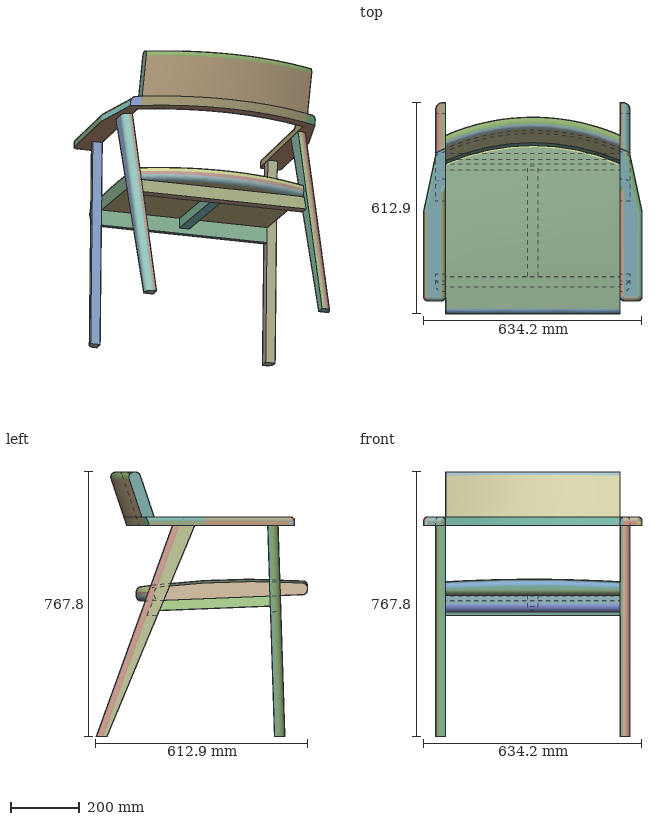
import cadquery as cq
import math


overall_width = 634.2
overall_depth = 612.9
overall_height = 767.76
inner_half_width = 253.0
arm_half_width = overall_width / 2
edge_radius = 20.0

arm_bottom = 612.0
arm_thickness = 25.5
arm_top = arm_bottom + arm_thickness
arm_front = 37.5
arm_taper_start = 297.0
arm_taper_end = 461.0
arm_round = 12.5
inner_round_end = 355.0
runout_radius = 22.0
crease_round = 6.0

back_radius = 636.0
back_thickness = 36.0
back_rear_at_arm_top = 533.0
back_lean = 0.335
back_top_round = 15.0
rear_limit_half_width = 354.0

leg_width = 29.0
front_leg_depth = 30.7
front_leg_foot = 65.3
front_leg_head = 85.0
rear_leg_foot_depth = 31.5
rear_leg_head_front = 327.0
rear_leg_head_rear = 392.0
rear_leg_foot_front = overall_depth - rear_leg_foot_depth

seat_rear = 497.0
seat_crest_y = 160.0
seat_crest_z = 457.0
seat_length_curve = 2400.0
seat_crown = 7.5
seat_bottom_front = 412.0
seat_bottom_slope = 0.04
seat_overrun = 100.0
seat_front_round = 14.5
seat_rear_round = 16.0

front_rail_bottom = 362.0
rear_rail_bottom = 351.0
rear_rail_depth = 30.0
stretcher_height = 29.5
stretcher_width = 30.0


def seat_bottom(y):
    """Height of the sloping underside of the seat."""
    return seat_bottom_front - seat_bottom_slope * y


def front_leg_y(z):
    """Front edge of the front leg at height z."""
    return front_leg_foot + (front_leg_head - front_leg_foot) * z / arm_bottom


def rear_leg_y(z):
    """Front edge of the rear leg at height z."""
    return rear_leg_foot_front + (rear_leg_head_front - rear_leg_foot_front) * z / arm_bottom


def back_rear_y(z):
    """Rear face of the backrest on the centre line at height z."""
    return back_rear_at_arm_top + back_lean * (z - arm_top)


def side_extrusion(points, x_start, width):
    """Prism of a side outline of (y, z) points, from x_start towards +X."""
    return cq.Workplane("YZ", origin=(x_start, 0, 0)).polyline(points).close().extrude(width)


def bulge(radius, half_width):
    """Rise of an arc of this radius over its chord."""
    return radius - math.sqrt(radius**2 - half_width**2)


def leaning_prism(plan, bottom, top):
    """Extrude a plan outline from bottom to top along the lean of the backrest."""
    height = top - bottom
    return cq.Workplane(cq.Solid.extrudeLinear(plan.val(), [], cq.Vector(0, back_lean * height, height)))


def make_leg(points, outer_edge):
    """Right leg with its outer long edge rounded; outer_edge selects front or rear."""
    leg = side_extrusion(points, inner_half_width, leg_width)
    return leg.faces(">X").edges("not(<Z or >Z)").edges(outer_edge).fillet(edge_radius)


front_leg_outline = [
    (front_leg_foot, 0),
    (front_leg_foot + front_leg_depth, 0),
    (front_leg_head + front_leg_depth, arm_bottom),
    (front_leg_head, arm_bottom),
]
rear_leg_outline = [
    (rear_leg_foot_front, 0),
    (overall_depth, 0),
    (rear_leg_head_rear, arm_bottom),
    (rear_leg_head_front, arm_bottom),
]

legs = []
for outline, outer_edge in ((front_leg_outline, "<Y"), (rear_leg_outline, ">Y")):
    right_leg = make_leg(outline, outer_edge)
    legs += [right_leg, right_leg.mirror("YZ")]


def back_plan(z):
    """Curved strip between the legs at height z."""
    rear = back_rear_y(z)
    drop = bulge(back_radius, inner_half_width)
    return (
        cq.Workplane("XY", origin=(0, 0, z))
        .moveTo(-inner_half_width, rear - drop)
        .threePointArc((0, rear), (inner_half_width, rear - drop))
        .lineTo(inner_half_width, rear - drop - back_thickness)
        .threePointArc((0, rear - back_thickness), (-inner_half_width, rear - drop - back_thickness))
        .close()
    )


def make_backrest():
    backrest = leaning_prism(back_plan(arm_top), arm_top, overall_height)
    return backrest.faces(">Z").edges("not |Y").fillet(back_top_round)


def rear_limit():
    """Everything in front of the rear face of the backrest, at armrest height."""
    half_width = rear_limit_half_width
    rear = back_rear_y(arm_bottom)
    drop = bulge(back_radius, half_width)
    plan = (
        cq.Workplane("XY", origin=(0, 0, arm_bottom))
        .moveTo(-half_width, rear - drop)
        .threePointArc((0, rear), (half_width, rear - drop))
        .lineTo(half_width, -overall_depth)
        .lineTo(-half_width, -overall_depth)
        .close()
    )
    return leaning_prism(plan, arm_bottom, arm_top)


def make_inner_edge_stop():
    """Square corner that ends the round on the inner edge, hollowed by the round's run-out."""
    corner = (
        cq.Workplane("XY", origin=(inner_half_width, inner_round_end, arm_top - arm_round))
        .box(arm_round, overall_depth - inner_round_end, arm_round, centered=False)
    )
    tip_radius = runout_radius - arm_round
    runout = (
        cq.Workplane("XZ")
        .lineTo(tip_radius, 0)
        .radiusArc((runout_radius, arm_round), arm_round)
        .lineTo(0, arm_round)
        .close()
        .revolve(360, (0, 0, 0), (0, 1, 0))
        .translate((inner_half_width - tip_radius, inner_round_end, arm_top - arm_round))
    )
    return corner.cut(runout)


def make_arm():
    """Right arm, ended at the rear by the rear face of the backrest."""
    rear_half_width = inner_half_width + leg_width
    arm = (
        cq.Workplane("XY", origin=(0, 0, arm_bottom))
        .moveTo(inner_half_width, arm_front)
        .lineTo(arm_half_width, arm_front)
        .lineTo(arm_half_width, arm_taper_start)
        .lineTo(rear_half_width, arm_taper_end)
        .lineTo(rear_half_width, overall_depth)
        .lineTo(inner_half_width, overall_depth)
        .close()
        .extrude(arm_thickness)
    )
    arm = arm.faces("<Y").edges("|Z").fillet(arm_round)
    arm = arm.faces(">Z").edges("not >Y").fillet(arm_round)
    return arm.union(make_inner_edge_stop()).intersect(rear_limit())


def make_armrest_loop():
    """Both arms joined by the curved band under the backrest."""
    right_arm = make_arm()
    band = leaning_prism(back_plan(arm_bottom), arm_bottom, arm_top)
    loop = band.union(right_arm).union(right_arm.mirror("YZ")).clean()
    crease_y = back_rear_y(arm_top) - bulge(back_radius, inner_half_width) - back_thickness
    arm_middle = arm_bottom + arm_thickness / 2
    for x in (-inner_half_width, inner_half_width):
        loop = loop.edges(cq.NearestToPointSelector((x, crease_y, arm_middle))).fillet(crease_round)
    return loop


def make_seat():
    """Slab with a curved rear, trimmed by a domed upper face and a sloping underside."""
    drop = bulge(back_radius, inner_half_width)
    slab = (
        cq.Workplane("XY")
        .moveTo(-inner_half_width, 0)
        .lineTo(inner_half_width, 0)
        .lineTo(inner_half_width, seat_rear - drop)
        .threePointArc((0, seat_rear), (-inner_half_width, seat_rear - drop))
        .close()
        .extrude(arm_bottom)
    )
    crown_radius = (inner_half_width**2 + seat_crown**2) / (2 * seat_crown)
    crown_axis = seat_crest_z - crown_radius
    start, end = -seat_overrun, seat_rear + seat_overrun
    sweep_angle = 2 * math.degrees(math.asin(arm_half_width / crown_radius))

    def top(y):
        """Height of the upper face on the centre line."""
        return seat_crest_z - bulge(seat_length_curve, y - seat_crest_y)

    under_top = (
        cq.Workplane("YZ")
        .moveTo(start, 0)
        .lineTo(end, 0)
        .lineTo(end, top(end))
        .threePointArc((seat_crest_y, seat_crest_z), (start, top(start)))
        .close()
        .revolve(sweep_angle, (0, crown_axis, 0), (1, crown_axis, 0))
        .rotate((0, 0, crown_axis), (0, 1, crown_axis), -sweep_angle / 2)
    )
    over_bottom = side_extrusion(
        [(start, seat_bottom(start)), (end, seat_bottom(end)), (end, arm_bottom), (start, arm_bottom)],
        -inner_half_width,
        2 * inner_half_width,
    )
    seat = slab.intersect(under_top).intersect(over_bottom)
    seat = seat.faces("<Y").edges("not |Z").fillet(seat_front_round)
    return seat.faces(">Y").edges("not |Z").fillet(seat_rear_round)


def make_cross_rail(front_y, depth, bottom):
    """Rail between two legs, leaning with them and reaching up to the underside of the seat."""
    top = seat_bottom(0)
    outline = [
        (front_y(bottom), bottom),
        (front_y(bottom) + depth, bottom),
        (front_y(top) + depth, top),
        (front_y(top), top),
    ]
    return side_extrusion(outline, -inner_half_width, 2 * inner_half_width)


def make_under_seat_space():
    """Everything between the legs and below the seat."""
    return side_extrusion(
        [(0, 0), (overall_depth, 0), (overall_depth, seat_bottom(overall_depth)), (0, seat_bottom(0))],
        -inner_half_width,
        2 * inner_half_width,
    )


def make_stretcher():
    """Rail on the centre line from the front rail to the rear rail, along the seat's underside."""
    front, rear = front_leg_head, rear_leg_y(rear_rail_bottom)
    return side_extrusion(
        [
            (front, seat_bottom(front) - stretcher_height),
            (rear, seat_bottom(rear) - stretcher_height),
            (rear, seat_bottom(rear)),
            (front, seat_bottom(front)),
        ],
        -stretcher_width / 2,
        stretcher_width,
    )


backrest = make_backrest()
armrest_loop = make_armrest_loop()
seat = make_seat()

under_seat = make_under_seat_space()
front_rail = make_cross_rail(front_leg_y, front_leg_depth, front_rail_bottom)
front_rail = front_rail.faces("<Z").edges("<Y").fillet(edge_radius).intersect(under_seat)
rear_rail = make_cross_rail(rear_leg_y, rear_rail_depth, rear_rail_bottom).intersect(under_seat)
stretcher = make_stretcher().cut(front_rail).cut(rear_rail)

result = cq.Compound.makeCompound(
    [
        *[leg.val() for leg in legs],
        backrest.val(),
        armrest_loop.val(),
        seat.val(),
        front_rail.val(),
        rear_rail.val(),
        stretcher.val(),
    ]
)